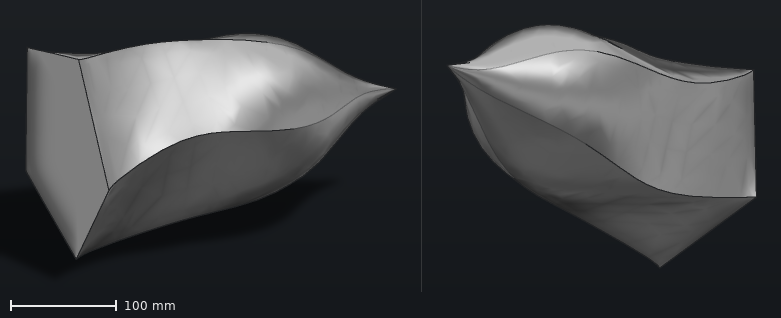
import cadquery as cq
import math

SIDES = 5
LENGTH = 342.5
CORNER_STEP = 360.0 / SIDES

SECTIONS = [
    (0.0, 109.5, -1.6, 0.0),
    (54.8, 95.2, 11.4, 0.0),
    (113.0, 89.0, 17.4, 0.0),
    (171.3, 83.5, 12.5, 0.6),
    (227.8, 69.0, 8.3, 1.0),
    (270.5, 41.5, 13.0, 1.0),
    (310.0, 14.0, 31.0, 1.0),
    (LENGTH, 0.5, 60.0, 1.0),
]


def polar_point(y, radius, angle):
    """Point on the section at distance y, with the angle turning from +X to +Z."""
    turn = math.radians(angle)
    return cq.Vector(radius * math.cos(turn), y, radius * math.sin(turn))


def section_wire(y, corner_radius, first_angle, roundness):
    """Closed five-sided section with straight or outward-bowed sides."""
    flat_radius = corner_radius * math.cos(math.radians(CORNER_STEP / 2))
    middle_radius = flat_radius + roundness * (corner_radius - flat_radius)
    edges = []
    for side in range(SIDES):
        angle = first_angle + side * CORNER_STEP
        start = polar_point(y, corner_radius, angle)
        middle = polar_point(y, middle_radius, angle + CORNER_STEP / 2)
        end = polar_point(y, corner_radius, angle + CORNER_STEP)
        if roundness == 0:
            edges.append(cq.Edge.makeLine(start, end))
        else:
            edges.append(cq.Edge.makeThreePointArc(start, middle, end))
    return cq.Wire.assembleEdges(edges)


profiles = [section_wire(*section) for section in SECTIONS]
bud = cq.Solid.makeLoft(profiles)
result = cq.Workplane("XY").newObject([bud])